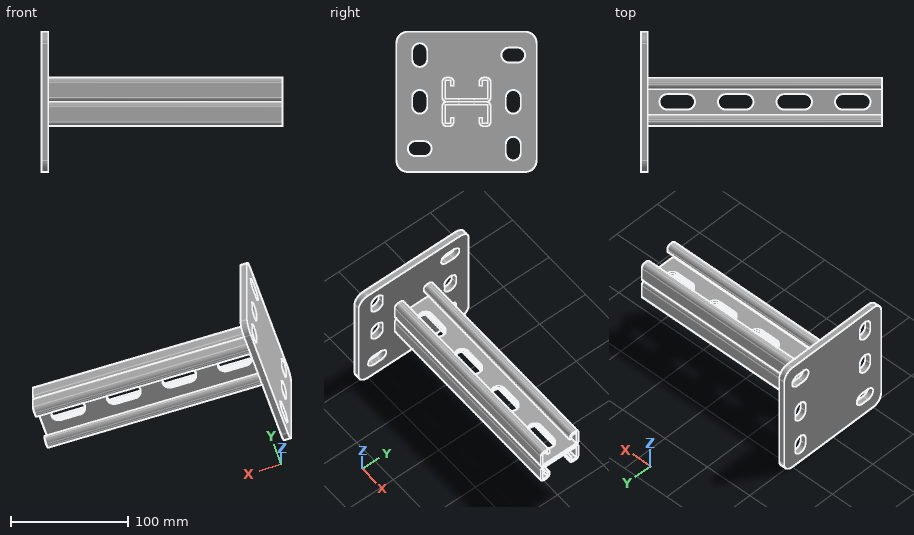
import cadquery as cq

plate_side = 120.0
plate_thickness = 6.0
plate_corner_radius = 10.0
plate_slot_length = 20.0
plate_slot_width = 12.5
plate_slot_offset = 40.0

overall_length = 206.0
channel_length = overall_length - plate_thickness
channel_width = 41.5
channel_height = 20.8
wall = 2.5
bend_radius = 4.0
mouth_width = 21.8
lip_depth = 7.0

web_slot_count = 4
web_slot_pitch = channel_length / web_slot_count
web_slot_length = 30.0
web_slot_width = 13.0


def make_plate():
    """Square plate with rounded corners and six mounting slots."""
    plate = (
        cq.Workplane("YZ")
        .rect(plate_side, plate_side)
        .extrude(plate_thickness)
        .edges("|X")
        .fillet(plate_corner_radius)
    )
    upright_slots = []
    flat_slots = []
    for side in (1, -1):
        column = side * plate_slot_offset
        upright_slots += [(column, 0), (column, -column)]
        flat_slots.append((column, column))
    for centres, angle in ((upright_slots, 90), (flat_slots, 0)):
        cutter = (
            cq.Workplane("YZ")
            .pushPoints(centres)
            .slot2D(plate_slot_length, plate_slot_width, angle)
            .extrude(plate_thickness)
        )
        plate = plate.cut(cutter)
    return plate


def channel_sheet():
    """Bent sheet with its web on Z = 0 and both mouth lips turned down, without slots."""
    half_width = channel_width / 2
    half_mouth = mouth_width / 2
    lip_edge = channel_height - lip_depth
    bend_height = channel_height - bend_radius
    half_section = (
        cq.Workplane("YZ", origin=(plate_thickness, 0, 0))
        .lineTo(half_width - bend_radius, 0)
        .radiusArc((half_width, bend_radius), -bend_radius)
        .lineTo(half_width, bend_height)
        .radiusArc((half_width - bend_radius, channel_height), -bend_radius)
        .lineTo(half_mouth + bend_radius, channel_height)
        .radiusArc((half_mouth, bend_height), -bend_radius)
        .lineTo(half_mouth, lip_edge)
        .lineTo(half_mouth + wall, lip_edge)
        .lineTo(half_mouth + wall, channel_height - wall)
        .lineTo(half_width - wall, channel_height - wall)
        .lineTo(half_width - wall, wall)
        .lineTo(0, wall)
    )
    return half_section.mirrorY().extrude(channel_length)


def make_channel(turn):
    """Bent channel with a slotted web, turned about the X axis."""
    slots = (
        cq.Workplane("XY", origin=(plate_thickness + channel_length / 2, 0, 0))
        .rarray(web_slot_pitch, 2, web_slot_count, 1)
        .slot2D(web_slot_length, web_slot_width)
        .extrude(wall)
    )
    return channel_sheet().cut(slots).rotate((0, 0, 0), (1, 0, 0), turn)


plate = make_plate()
channels = [make_channel(turn) for turn in (0, 180)]

result = cq.Compound.makeCompound([plate.val()] + [channel.val() for channel in channels])